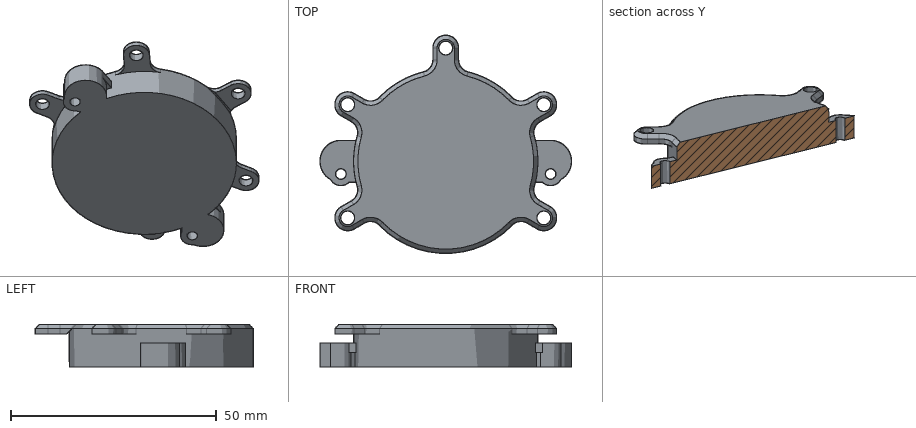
import cadquery as cq
import math

BODY_RADIUS = 22.4
BODY_HEIGHT = 10.38
TOP_CHAMFER = 1.05

ARM_ANGLES = (-150, -30, 30, 90, 150)
ARM_REACH = 27.5
ARM_RADIUS = 3.15
ARM_THICKNESS = 2.38
ARM_FILLET = 3.0
ARM_HOLE_DIAMETER = 3.3
ARM_UNDERSIDE = BODY_HEIGHT - ARM_THICKNESS

RELIEF_START = 23.05
RELIEF_HEIGHT = ARM_THICKNESS - TOP_CHAMFER

LUG_X = 25.475
LUG_RADIUS = 5.1
LUG_HEIGHT = 5.9
BOSS_Y = -3.1
BOSS_RADIUS = 2.83
LUG_HOLE_DIAMETER = 2.5
TAB_BOTTOM = 3.5
TAB_OVERLAP = 1.4


def cylinder(x, y, radius, bottom, top):
    return cq.Workplane("XY", origin=(x, y, bottom)).circle(radius).extrude(top - bottom)


def prism(points, bottom, top):
    return cq.Workplane("XY", origin=(0, 0, bottom)).polyline(points).close().extrude(top - bottom)


def make_arm(angle):
    """One rounded arm along +X, flared into the body by two fillets, turned to its angle."""
    flare_y = ARM_RADIUS + ARM_FILLET
    flare_x = math.sqrt((BODY_RADIUS + ARM_FILLET) ** 2 - flare_y ** 2)
    outline = [
        (0, 0),
        (flare_x, -flare_y),
        (flare_x, -ARM_RADIUS),
        (ARM_REACH, -ARM_RADIUS),
        (ARM_REACH, ARM_RADIUS),
        (flare_x, ARM_RADIUS),
        (flare_x, flare_y),
    ]
    arm = prism(outline, ARM_UNDERSIDE, BODY_HEIGHT)
    arm = arm.union(cylinder(ARM_REACH, 0, ARM_RADIUS, ARM_UNDERSIDE, BODY_HEIGHT))
    for side in (-1, 1):
        arm = arm.cut(cylinder(flare_x, side * flare_y, ARM_FILLET, ARM_UNDERSIDE, BODY_HEIGHT))
    return arm.rotate((0, 0, 0), (0, 0, 1), angle)


def make_body_with_arms():
    body = cylinder(0, 0, BODY_RADIUS, 0, BODY_HEIGHT)
    for angle in ARM_ANGLES:
        body = body.union(make_arm(angle))
    return body.faces(">Z").chamfer(TOP_CHAMFER)


def make_arm_holes():
    return (
        cq.Workplane("XY", origin=(0, 0, ARM_UNDERSIDE))
        .pushPoints([
            (ARM_REACH * math.cos(math.radians(a)), ARM_REACH * math.sin(math.radians(a)))
            for a in ARM_ANGLES
        ])
        .circle(ARM_HOLE_DIAMETER / 2)
        .extrude(ARM_THICKNESS)
    )


def make_arm_relief():
    """Triangular prism that undercuts the +Y arm without touching the round body."""
    half_width = ARM_RADIUS + ARM_FILLET
    wedge = (
        cq.Workplane("YZ", origin=(-half_width, 0, 0))
        .moveTo(RELIEF_START, ARM_UNDERSIDE)
        .lineTo(RELIEF_START - RELIEF_HEIGHT, ARM_UNDERSIDE + RELIEF_HEIGHT)
        .lineTo(RELIEF_START - RELIEF_HEIGHT, ARM_UNDERSIDE)
        .close()
        .extrude(2 * half_width)
    )
    return wedge.cut(cylinder(0, 0, BODY_RADIUS, 0, BODY_HEIGHT))


def make_lug():
    """The +X lug: two merged upright cylinders, with a flat-sided tab joining the top to the body."""
    inner_x = BODY_RADIUS - TAB_OVERLAP
    tab = prism(
        [(inner_x, -LUG_RADIUS), (LUG_X, -LUG_RADIUS), (LUG_X, LUG_RADIUS), (inner_x, LUG_RADIUS)],
        TAB_BOTTOM,
        LUG_HEIGHT,
    )
    lug = cylinder(LUG_X, 0, LUG_RADIUS, 0, LUG_HEIGHT)
    lug = lug.union(cylinder(LUG_X, BOSS_Y, BOSS_RADIUS, 0, LUG_HEIGHT))
    lug = lug.union(tab)
    return lug.cut(cylinder(LUG_X, BOSS_Y, LUG_HOLE_DIAMETER / 2, 0, LUG_HEIGHT))


lug = make_lug()
result = make_body_with_arms().cut(make_arm_holes()).cut(make_arm_relief())
result = result.union(lug).union(lug.mirror("YZ"))